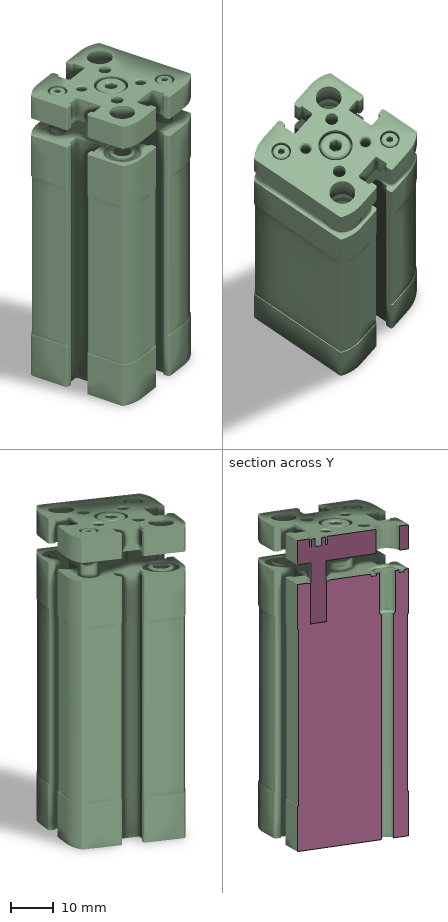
import cadquery as cq
import math

TOTAL_HEIGHT = 75.7
WIDTH = 29.0
PLATE_THICKNESS = 6.0
PLATE_GAP = 4.7
CAP_HEIGHT = 11.05
BARREL_INSET = 0.2

HALF_WIDTH = WIDTH / 2
PLATE_BOTTOM = TOTAL_HEIGHT - PLATE_THICKNESS
HOUSING_HEIGHT = PLATE_BOTTOM - PLATE_GAP
BARREL_HEIGHT = HOUSING_HEIGHT - 2 * CAP_HEIGHT

BOW_START = 9.0
BOW_RADIUS = 9.55
CORNER_FILLET = 0.6

SLOT_MOUTH = 5.4
SLOT_CHAMBER = 6.9
SLOT_LIP = 1.9
SLOT_DEPTH = 5.2
SLOT_FILLET = 0.5
EDGE_MARGIN = 0.1
PORT_SIDE_SLOT_RISE = 0.2

CORNER_PITCH = 18.0
SMALL_PITCH = 9.9
CORNER = CORNER_PITCH / 2
SMALL = SMALL_PITCH / 2
ROD_POSITIONS = [(-CORNER, -CORNER), (CORNER, CORNER)]
BOLT_POSITIONS = [(-CORNER, CORNER), (CORNER, -CORNER)]
TAPPED_POSITIONS = [(-SMALL, -SMALL), (SMALL, SMALL)]
DOWEL_POSITIONS = [(-SMALL, SMALL), (SMALL, -SMALL)]

ACCESS_DIAMETER = 6.0
DOWEL_DIAMETER = 3.0
TAPPED_DIAMETER = 2.4
TAPPED_MOUTH = 3.0

PISTON_ROD_DIAMETER = 8.0
ACROSS_FLATS = 7.0
FLAT_START = 0.8
STUB_DIAMETER = ACROSS_FLATS
STUB_RECESS = 0.1
STUB_CHAMFER = 0.4
GROOVE_DEPTH = 2.0
PISTON_SOCKET_FLATS = 2.7
PISTON_SOCKET_MOUTH = 3.3
PISTON_SOCKET_DEPTH = 5.0
HEX_SIDES = 6
DRILL_POINT_ANGLE = 118.0
ROD_INSERTION = 10.0

GUIDE_DIAMETER = 4.0
GUIDE_SEAT_DIAMETER = 4.6
GUIDE_RECESS = 0.1
GUIDE_CHAMFER = 0.2
GUIDE_BUSH_DIAMETER = 5.5
GUIDE_BUSH_RECESS = 0.15
GUIDE_END_DIAMETER = 3.8
GUIDE_SOCKET_FLATS = 1.5
GUIDE_SOCKET_DEPTH = 2.0
GUIDE_SOCKET_TURN = 15.0

BOLT_HOLE_DIAMETER = 3.0
THREAD_DIAMETER = 4.0
THREAD_DEPTH = 10.0
RECESS_MOUTH_DIAMETER = 9.2
RECESS_DIAMETER = 8.5
COLLAR_DIAMETER = 6.0
RECESS_DEPTH = 0.6


def cylinders(points, diameter, bottom, height):
    return cq.Workplane().workplane(offset=bottom).pushPoints(points).circle(diameter / 2).extrude(height)


def cone(point, bottom_diameter, top_diameter, bottom, height):
    solid = cq.Solid.makeCone(bottom_diameter / 2, top_diameter / 2, height, cq.Vector(*point, bottom))
    return cq.Workplane(obj=solid)


def chamfered_mouth(point, hole_diameter, mouth_diameter, top):
    """45 degree countersink that widens a hole to mouth_diameter at height top."""
    depth = (mouth_diameter - hole_diameter) / 2
    return cone(point, hole_diameter, mouth_diameter, top - depth, depth)


def slot_cutter(height, direction, rise=0.0):
    """T-slot prism that opens on the side at the given angle about Z."""
    floor = HALF_WIDTH - SLOT_DEPTH + rise
    lip = HALF_WIDTH - SLOT_LIP
    chamber = cq.Workplane().rect(lip - floor, SLOT_CHAMBER).extrude(height)
    chamber = chamber.translate(((lip + floor) / 2, 0, 0))
    mouth = cq.Workplane().rect(HALF_WIDTH, SLOT_MOUTH).extrude(height)
    mouth = mouth.translate((floor + HALF_WIDTH / 2, 0, 0))
    return chamber.union(mouth).rotate((0, 0, 0), (0, 0, 1), direction)


def slotted_block(bottom, height, inset=0.0, front_rise=0.0):
    """Block with bowed sides and three T-slots; inset shrinks the outline but not the slots."""
    half = HALF_WIDTH - inset
    radius = BOW_RADIUS - inset
    centre_x = HALF_WIDTH - BOW_RADIUS
    end_angle = math.asin((half - BOW_START) / radius)
    corner_x = centre_x + radius * math.cos(end_angle)
    mid_x = centre_x + radius * math.cos(end_angle / 2)
    mid_y = BOW_START + radius * math.sin(end_angle / 2)
    outline = (
        cq.Workplane()
        .moveTo(half, -BOW_START)
        .lineTo(half, BOW_START)
        .threePointArc((mid_x, mid_y), (corner_x, half))
        .lineTo(-corner_x, half)
        .threePointArc((-mid_x, mid_y), (-half, BOW_START))
        .lineTo(-half, -BOW_START)
        .threePointArc((-mid_x, -mid_y), (-corner_x, -half))
        .lineTo(corner_x, -half)
        .threePointArc((mid_x, -mid_y), (half, -BOW_START))
        .close()
    )
    block = outline.extrude(height).edges("|Z").edges(">Y or <Y").fillet(CORNER_FILLET)
    for direction, rise in ((0, 0), (180, 0), (270, front_rise)):
        block = block.cut(slot_cutter(height, direction, rise))
    mouth_zone = SLOT_MOUTH / 2 + EDGE_MARGIN
    chamber_zone = SLOT_CHAMBER / 2 + EDGE_MARGIN
    floor_zone = HALF_WIDTH - SLOT_DEPTH + PORT_SIDE_SLOT_RISE + EDGE_MARGIN
    for zone_x, zone_y in (
        (WIDTH, mouth_zone),
        (mouth_zone, WIDTH),
        (floor_zone, chamber_zone),
        (chamber_zone, floor_zone),
    ):
        zone = cq.selectors.BoxSelector((-zone_x, -zone_y, 0), (zone_x, zone_y, height))
        block = block.edges("|Z").edges(zone).fillet(SLOT_FILLET)
    return block.translate((0, 0, bottom))


def make_housing():
    """Barrel between two caps, with rod bores and two stepped bolt holes."""
    body = slotted_block(0, CAP_HEIGHT, front_rise=PORT_SIDE_SLOT_RISE)
    body = body.union(slotted_block(CAP_HEIGHT, BARREL_HEIGHT, BARREL_INSET, PORT_SIDE_SLOT_RISE))
    body = body.union(
        slotted_block(CAP_HEIGHT + BARREL_HEIGHT, CAP_HEIGHT, front_rise=PORT_SIDE_SLOT_RISE))

    rod_bottom = HOUSING_HEIGHT - ROD_INSERTION
    body = body.cut(cylinders([(0, 0)], PISTON_ROD_DIAMETER, rod_bottom, ROD_INSERTION))
    body = body.cut(cylinders(ROD_POSITIONS, GUIDE_DIAMETER, rod_bottom, ROD_INSERTION))
    bush_face = HOUSING_HEIGHT - GUIDE_BUSH_RECESS
    body = body.cut(cylinders(ROD_POSITIONS, GUIDE_BUSH_DIAMETER, bush_face, GUIDE_BUSH_RECESS))

    recess_floor = HOUSING_HEIGHT - RECESS_DEPTH
    body = body.cut(cylinders(BOLT_POSITIONS, RECESS_DIAMETER, recess_floor, RECESS_DEPTH))
    for point in BOLT_POSITIONS:
        body = body.cut(chamfered_mouth(point, RECESS_DIAMETER, RECESS_MOUTH_DIAMETER, HOUSING_HEIGHT))
    body = body.union(cylinders(BOLT_POSITIONS, COLLAR_DIAMETER, recess_floor, RECESS_DEPTH))

    thread_bottom = HOUSING_HEIGHT - THREAD_DEPTH
    body = body.cut(cylinders(BOLT_POSITIONS, BOLT_HOLE_DIAMETER, 0, HOUSING_HEIGHT))
    body = body.cut(cylinders(BOLT_POSITIONS, THREAD_DIAMETER, thread_bottom, THREAD_DEPTH))
    for point in BOLT_POSITIONS:
        body = body.cut(chamfered_mouth(point, BOLT_HOLE_DIAMETER, THREAD_DIAMETER, thread_bottom))
    return body


def make_plate():
    """Slotted end plate with its holes and the seats of the three rods."""
    plate = slotted_block(PLATE_BOTTOM, PLATE_THICKNESS)
    for points, diameter in (
        (BOLT_POSITIONS, ACCESS_DIAMETER),
        (DOWEL_POSITIONS, DOWEL_DIAMETER),
        (TAPPED_POSITIONS, TAPPED_DIAMETER),
    ):
        plate = plate.cut(cylinders(points, diameter, PLATE_BOTTOM, PLATE_THICKNESS))
    for point in TAPPED_POSITIONS:
        plate = plate.cut(chamfered_mouth(point, TAPPED_DIAMETER, TAPPED_MOUTH, TOTAL_HEIGHT))
    groove_floor = TOTAL_HEIGHT - GROOVE_DEPTH
    for points, rod_diameter, groove_diameter in (
        ([(0, 0)], PISTON_ROD_DIAMETER, PISTON_ROD_DIAMETER),
        (ROD_POSITIONS, GUIDE_DIAMETER, GUIDE_SEAT_DIAMETER),
    ):
        plate = plate.cut(cylinders(points, rod_diameter, PLATE_BOTTOM, PLATE_THICKNESS))
        plate = plate.cut(cylinders(points, groove_diameter, groove_floor, GROOVE_DEPTH))
    return plate


def rod_blank(point, diameter, end_diameter, recess, chamfer):
    """Rod whose thinner, chamfered end stands in a ring groove of the plate."""
    bottom = HOUSING_HEIGHT - ROD_INSERTION
    shoulder = TOTAL_HEIGHT - GROOVE_DEPTH
    body = cylinders([point], diameter, bottom, shoulder - bottom)
    end = cylinders([point], end_diameter, shoulder, GROOVE_DEPTH - recess)
    return body.union(end.faces(">Z").chamfer(chamfer))


def hex_socket(point, across_flats, turn, top, depth):
    """Hexagon prism; at turn 0 two of its corners lie along X."""
    across_corners = across_flats / math.cos(math.pi / HEX_SIDES)
    prism = cq.Workplane().polygon(HEX_SIDES, across_corners).extrude(depth)
    return prism.rotate((0, 0, 0), (0, 0, 1), turn).translate((*point, top - depth))


def make_piston_rod():
    rod = rod_blank((0, 0), PISTON_ROD_DIAMETER, STUB_DIAMETER, STUB_RECESS, STUB_CHAMFER)
    flat_bottom = HOUSING_HEIGHT + FLAT_START
    outside_flats = cq.Workplane().rect(WIDTH, WIDTH).rect(WIDTH, ACROSS_FLATS)
    rod = rod.cut(outside_flats.extrude(PLATE_BOTTOM - flat_bottom).translate((0, 0, flat_bottom)))

    top = TOTAL_HEIGHT - STUB_RECESS
    point_depth = PISTON_SOCKET_FLATS / 2 / math.tan(math.radians(DRILL_POINT_ANGLE / 2))
    socket_floor = top - PISTON_SOCKET_DEPTH
    rod = rod.cut(hex_socket((0, 0), PISTON_SOCKET_FLATS, 0, top, PISTON_SOCKET_DEPTH))
    rod = rod.cut(cone((0, 0), 0, PISTON_SOCKET_FLATS, socket_floor - point_depth, point_depth))
    return rod.cut(chamfered_mouth((0, 0), PISTON_SOCKET_FLATS, PISTON_SOCKET_MOUTH, top))


def make_guide_rod(point):
    rod = rod_blank(point, GUIDE_DIAMETER, GUIDE_END_DIAMETER, GUIDE_RECESS, GUIDE_CHAMFER)
    top = TOTAL_HEIGHT - GUIDE_RECESS
    return rod.cut(hex_socket(point, GUIDE_SOCKET_FLATS, GUIDE_SOCKET_TURN, top, GUIDE_SOCKET_DEPTH))


def make_carriage():
    """Plate, piston rod and guide rods, which move as one body."""
    carriage = make_plate().union(make_piston_rod())
    for point in ROD_POSITIONS:
        carriage = carriage.union(make_guide_rod(point))
    return carriage


housing = make_housing()
carriage = make_carriage()

result = cq.Compound.makeCompound([housing.val(), carriage.val()])